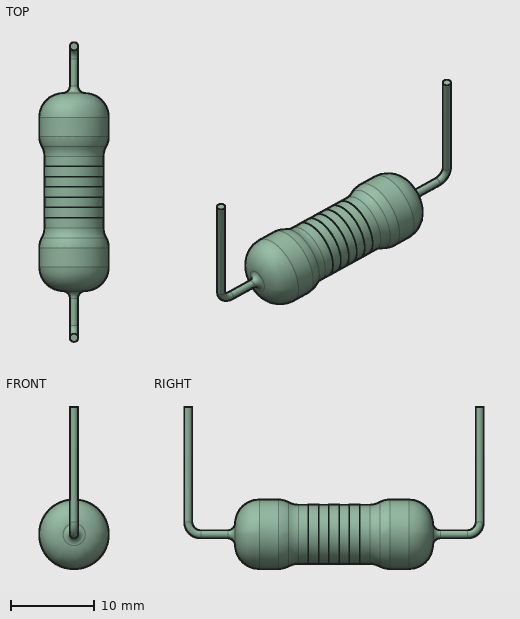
import cadquery as cq
import math


body_length = 23.8
cap_diameter = 8.4
waist_diameter = 7.14
band_diameter = 7.16
cap_rounding = 2.94
waist_half_length = 4.3
shoulder_length = 2.38
band_count = 3
wire_diameter = 1.0
wire_spacing = 35.0
wire_top = 15.3
bend_radius = 1.5
collar_radius = 0.85

half_body = body_length / 2
cap_radius = cap_diameter / 2
waist_radius = waist_diameter / 2
wire_radius = wire_diameter / 2
wire_reach = wire_spacing / 2
shoulder_end = waist_half_length + shoulder_length
cap_edge = half_body - cap_rounding
rounding_center_radius = cap_radius - cap_rounding
band_width = 2 * waist_half_length / (2 * band_count + 1)
diagonal = math.sqrt(0.5)


def make_half_body():
    """Revolve the +Y half of the body, with its collar around the wire."""
    shoulder_middle = (
        (waist_radius + cap_radius) / 2,
        waist_half_length + shoulder_length / 2,
    )
    rounding_middle = (
        rounding_center_radius + cap_rounding * diagonal,
        cap_edge + cap_rounding * diagonal,
    )

    center_distance = cap_rounding + collar_radius
    collar_center_radius = wire_radius + collar_radius
    center_offset = collar_center_radius - rounding_center_radius
    contact_angle = math.asin(center_offset / center_distance)
    collar_tip = cap_edge + center_distance * math.cos(contact_angle)
    contact = (
        rounding_center_radius + cap_rounding * math.sin(contact_angle),
        cap_edge + cap_rounding * math.cos(contact_angle),
    )
    collar_middle_angle = (math.pi / 2 + contact_angle) / 2
    collar_middle = (
        collar_center_radius - collar_radius * math.sin(collar_middle_angle),
        collar_tip - collar_radius * math.cos(collar_middle_angle),
    )
    return (
        cq.Workplane("XY")
        .lineTo(waist_radius, 0)
        .lineTo(waist_radius, waist_half_length)
        .tangentArcPoint(shoulder_middle, relative=False)
        .tangentArcPoint((cap_radius, shoulder_end), relative=False)
        .lineTo(cap_radius, cap_edge)
        .threePointArc(rounding_middle, contact)
        .threePointArc(collar_middle, (wire_radius, collar_tip))
        .lineTo(0, collar_tip)
        .close()
        .revolve(360, (0, 0, 0), (0, 1, 0))
    )


def make_wire():
    """Sweep the +Y wire from inside the end cap, around the bend and up."""
    bend_start = wire_reach - bend_radius
    bend_middle = (bend_start + bend_radius * diagonal, bend_radius * (1 - diagonal))
    path = (
        cq.Workplane("YZ")
        .moveTo(cap_edge, 0)
        .lineTo(bend_start, 0)
        .threePointArc(bend_middle, (wire_reach, bend_radius))
        .lineTo(wire_reach, wire_top)
    )
    section_plane = cq.Plane(origin=(0, cap_edge, 0), xDir=(1, 0, 0), normal=(0, 1, 0))
    return cq.Workplane(section_plane).circle(wire_radius).sweep(path)


def make_band(center_y):
    """Slightly raised colour band around the waist."""
    start_plane = cq.Plane(
        origin=(0, center_y - band_width / 2, 0), xDir=(1, 0, 0), normal=(0, 1, 0)
    )
    return cq.Workplane(start_plane).circle(band_diameter / 2).extrude(band_width)


half_resistor = make_half_body().union(make_wire())
result = half_resistor.union(half_resistor.mirror("XZ"))

for index in range(band_count):
    band_offset = index - (band_count - 1) / 2
    result = result.union(make_band(2 * band_width * band_offset))

result = result.clean()